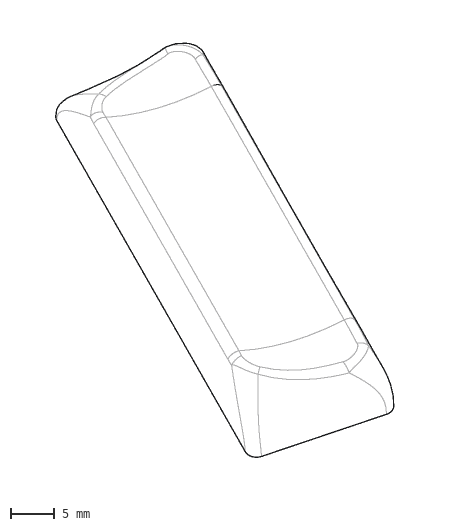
import cadquery as cq
import math

LENGTH = 56.45
WIDTH = 18.4
BASE_CORNER_RADIUS = 1.4

MIDDLE_HALF_LENGTH = 18.9

UNTRIMMED_HEIGHT = 9.05
WALL_POWER = 2.5
FRONT_INSET = 2.05
BACK_INSET = 2.8
END_INSET_AT_BACK = 1.45
END_INSET_AT_FRONT = 8.45
END_POWER_AT_FRONT = 1.8
TOP_CORNER_RADIUS = 3.95
LEVEL_COUNT = 7

DISH_RADIUS = 20.6
DISH_LOWEST_Y = 1.25
DISH_FLOOR_Z = 6.5
END_CURL_RADIUS = 18.05
END_CURL_ANGLE = 35.0
CUTTER_HALF_WIDTH = 11.3
CUTTER_HEIGHT = 5.65

RIM_FILLET = 1.15
RIM_ZONE_Z = 6.2


def rounded_corner(before, corner, after, radius):
    """Start, middle and end of the arc that rounds a corner."""
    to_before = (before - corner).normalized()
    to_after = (after - corner).normalized()
    half_angle = to_before.getAngle(to_after) / 2
    setback = radius / math.tan(half_angle)
    to_middle = (to_before + to_after).normalized()
    middle = corner + to_middle * (radius / math.sin(half_angle) - radius)
    return corner + to_before * setback, middle, corner + to_after * setback


def mirrored_in_x(point):
    return cq.Vector(-point.x, point.y, point.z)


def outline_at(z):
    """Rounded four-sided outline of the walls at height z."""
    rise = z / UNTRIMMED_HEIGHT
    lean = rise**WALL_POWER
    front_y = -WIDTH / 2 + FRONT_INSET * lean
    back_y = WIDTH / 2 - BACK_INSET * lean
    back_x = LENGTH / 2 - END_INSET_AT_BACK * lean
    front_x = LENGTH / 2 - END_INSET_AT_FRONT * rise**END_POWER_AT_FRONT
    radius = BASE_CORNER_RADIUS + (TOP_CORNER_RADIUS - BASE_CORNER_RADIUS) * lean

    front_corner = cq.Vector(front_x, front_y, z)
    back_corner = cq.Vector(back_x, back_y, z)
    front_arc = rounded_corner(mirrored_in_x(front_corner), front_corner, back_corner, radius)
    back_arc = rounded_corner(front_corner, back_corner, mirrored_in_x(back_corner), radius)
    right_end = [
        cq.Edge.makeThreePointArc(*front_arc),
        cq.Edge.makeLine(front_arc[-1], back_arc[0]),
        cq.Edge.makeThreePointArc(*back_arc),
    ]
    left_end = [edge.mirror("YZ") for edge in reversed(right_end)]
    front = cq.Edge.makeLine(mirrored_in_x(front_arc[0]), front_arc[0])
    back = cq.Edge.makeLine(back_arc[-1], mirrored_in_x(back_arc[-1]))
    return cq.Wire.assembleEdges([front, *right_end, back, *left_end])


def make_walls():
    levels = [UNTRIMMED_HEIGHT * i / (LEVEL_COUNT - 1) for i in range(LEVEL_COUNT)]
    return cq.Workplane(obj=cq.Solid.makeLoft([outline_at(z) for z in levels]))


def dish_section(x):
    """Section of the space above the dish, on the YZ plane at x."""
    left_y = DISH_LOWEST_Y - CUTTER_HALF_WIDTH
    right_y = DISH_LOWEST_Y + CUTTER_HALF_WIDTH
    edge_z = DISH_FLOOR_Z + DISH_RADIUS - math.sqrt(DISH_RADIUS**2 - CUTTER_HALF_WIDTH**2)
    top_z = DISH_FLOOR_Z + CUTTER_HEIGHT
    return (
        cq.Workplane("YZ", origin=(x, 0, 0))
        .moveTo(left_y, edge_z)
        .threePointArc((DISH_LOWEST_Y, DISH_FLOOR_Z), (right_y, edge_z))
        .lineTo(right_y, top_z)
        .lineTo(left_y, top_z)
        .close()
    )


def make_dish():
    middle = dish_section(-MIDDLE_HALF_LENGTH).extrude(2 * MIDDLE_HALF_LENGTH)
    axis_z = DISH_FLOOR_Z + END_CURL_RADIUS
    curl = dish_section(MIDDLE_HALF_LENGTH).revolve(END_CURL_ANGLE, (0.55, axis_z, 0), (0, axis_z, 0))
    return middle.union(curl).union(curl.mirror("YZ"))


def round_rim(body):
    """Fillet the closed edge where the dish meets the walls."""
    upper_zone = cq.selectors.BoxSelector((-LENGTH, -WIDTH, RIM_ZONE_Z), (LENGTH, WIDTH, UNTRIMMED_HEIGHT))
    return body.edges(upper_zone).edges("not %CIRCLE").fillet(RIM_FILLET)


result = round_rim(make_walls().cut(make_dish()))